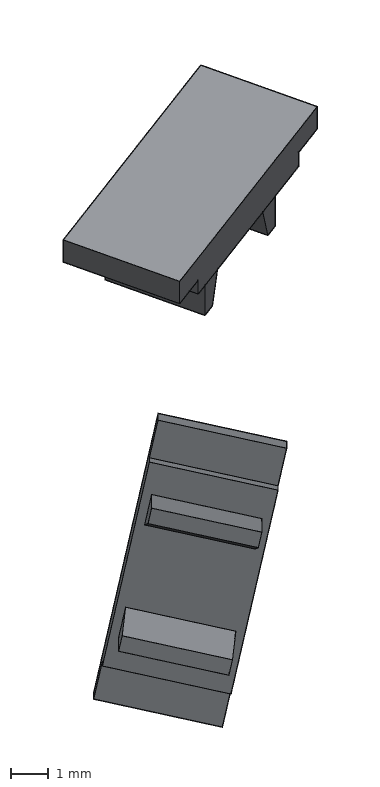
import cadquery as cq
import math

plate_width = 3.5
plate_length = 7.8
plate_thickness = 0.8

step_length = 5.7
step_thickness = 0.5

total_height = 2.86
leg_width = 3.0
leg_span = 4.0
leg_root = 0.85
leg_taper = 15.0

step_top = total_height - plate_thickness
leg_height = step_top - step_thickness
leg_tip = leg_root - leg_height * math.tan(math.radians(leg_taper))


def slab(length, thickness, bottom):
    """Full-width block centred in X and Y, resting at height `bottom`."""
    return (
        cq.Workplane("XY")
        .workplane(offset=bottom)
        .box(plate_width, length, thickness, centered=(True, True, False))
    )


def leg(side):
    """Leg with its vertical outer face towards +Y (side = 1) or -Y (side = -1)."""
    outer = leg_span / 2
    profile = [
        (side * outer, 0),
        (side * outer, leg_height),
        (side * (outer - leg_root), leg_height),
        (side * (outer - leg_tip), 0),
    ]
    return cq.Workplane("YZ").polyline(profile).close().extrude(leg_width / 2, both=True)


result = slab(plate_length, plate_thickness, step_top)
result = result.union(slab(step_length, step_thickness, leg_height))
for side in (-1, 1):
    result = result.union(leg(side))